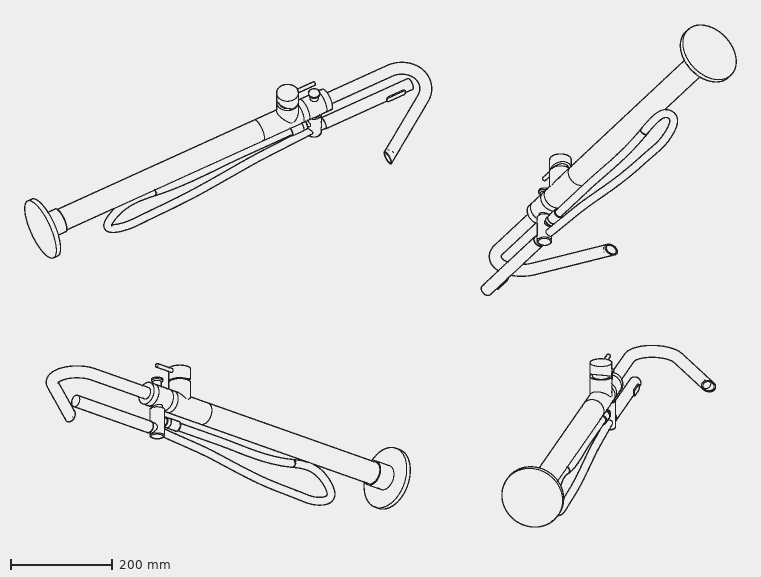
import cadquery as cq
import math


PLATE_D = 124.0
PLATE_THICKNESS = 10.0
SOCKET_D = 50.0
SOCKET_END = 46.0
COLUMN_D = 45.0
COLUMN_END = 500.0
MIXER_END = 591.0
COLLAR_LENGTH = 13.0
DIVERTER_LENGTH = 39.0
SPACER_END = MIXER_END + COLLAR_LENGTH
DIVERTER_END = SPACER_END + DIVERTER_LENGTH
SPOUT_COLLAR_END = DIVERTER_END + COLLAR_LENGTH

VALVE_D = 43.5
VALVE_Y = 566.0
VALVE_BODY_TOP = 47.5
CAP_BOTTOM = 49.5
CAP_TOP = 76.4
CAP_RELIEF_HEIGHT = 9.0
CAP_CORE_D = 34.0
LEVER_D = 8.0
LEVER_Z = 67.4
LEVER_END = 628.0

BRANCH_Y = 627.0
KNOB_D = 22.5
KNOB_STEM_D = 17.0
KNOB_TOP = 38.0
KNOB_RIM = 3.5
KNOB_TAPER = 2.5

NECK_D = 22.0
HOLDER_D = 29.0
HOLDER_TOP = -26.8
HOLDER_BOTTOM = -84.5
HOLDER_CHAMFER = 2.0

HANDLE_D = 24.0
HANDLE_Z = -70.0
HANDLE_START = 648.0
HANDLE_END = 847.5
HANDLE_STEM_D = 22.0
SPRAY_PAD_LENGTH = 44.0
SPRAY_PAD_WIDTH = 12.0
SPRAY_PAD_HEIGHT = 1.5
SPRAY_PAD_TIP_GAP = 18.0

HOSE_D = 16.0
HOSE_Z = -47.5
HOSE_STRAIGHT_END = 464.5
NUT_D = 20.5
NUT_START = 607.0
NUT_END = 572.5
NUT_COLLAR_D = 19.5
NUT_COLLAR_LENGTH = 9.0
NUT_STEM_D = 15.0
HOSE_TAIL_OFFSET = 6.0

SPOUT_D = 24.0
SPOUT_TOP = 858.7
SPOUT_REACH = 204.38
FIRST_BEND_R = 46.0
SECOND_BEND_R = 58.0
OUTLET_ANGLE = 35.0
OUTLET_OVERRUN = 40.0
OUTLET_BORE_D = 19.0
OUTLET_BORE_DEPTH = 12.0


def rod_y(diameter, start, end, z=0.0):
    """Round rod along Y between two Y stations, in the X = 0 plane at height z."""
    plane = cq.Plane(origin=(0, start, z), xDir=(1, 0, 0), normal=(0, 1, 0))
    return cq.Workplane(plane).circle(diameter / 2).extrude(end - start)


def post_z(diameter, y, bottom, top):
    """Round post along Z standing at station y."""
    return cq.Workplane("XY", origin=(0, y, bottom)).circle(diameter / 2).extrude(top - bottom)


def make_pedestal():
    plate = rod_y(PLATE_D, 0, PLATE_THICKNESS)
    socket = rod_y(SOCKET_D, PLATE_THICKNESS, SOCKET_END)
    column = rod_y(COLUMN_D, SOCKET_END, COLUMN_END)
    return plate.union(socket).union(column)


def make_valve_cap():
    """Cap on a thinner core, its underside sloping up toward -Y to let the lever tilt."""
    cap = post_z(VALVE_D, VALVE_Y, CAP_BOTTOM, CAP_TOP)
    edge_y = VALVE_Y - VALVE_D / 2
    relief = (
        cq.Workplane("YZ")
        .polyline([
            (VALVE_Y, CAP_BOTTOM),
            (edge_y, CAP_BOTTOM),
            (edge_y, CAP_BOTTOM + CAP_RELIEF_HEIGHT),
        ])
        .close()
        .extrude(VALVE_D / 2, both=True)
    )
    core = post_z(CAP_CORE_D, VALVE_Y, VALVE_BODY_TOP, CAP_TOP)
    return cap.cut(relief).union(core)


def make_mixer():
    body = rod_y(COLUMN_D, COLUMN_END, MIXER_END)
    valve = post_z(VALVE_D, VALVE_Y, 0, VALVE_BODY_TOP)
    lever = rod_y(LEVER_D, VALVE_Y, LEVER_END, LEVER_Z)
    return body.union(valve).union(make_valve_cap()).union(lever)


def make_spacer():
    return rod_y(COLUMN_D, MIXER_END, SPACER_END)


def make_knob():
    stem_r = KNOB_STEM_D / 2
    rim_r = KNOB_D / 2
    rim_bottom = KNOB_TOP - KNOB_RIM
    return (
        cq.Workplane("XZ", origin=(0, BRANCH_Y, 0))
        .polyline([
            (0, 0),
            (stem_r, 0),
            (stem_r, rim_bottom - KNOB_TAPER),
            (rim_r, rim_bottom),
            (rim_r, KNOB_TOP),
            (0, KNOB_TOP),
        ])
        .close()
        .revolve(360, (0, 0, 0), (0, 1, 0))
    )


def make_holder():
    neck = post_z(NECK_D, BRANCH_Y, HOLDER_TOP, 0)
    holder = post_z(HOLDER_D, BRANCH_Y, HOLDER_BOTTOM, HOLDER_TOP)
    return holder.faces("<Z").chamfer(HOLDER_CHAMFER).union(neck)


def make_hand_shower():
    stem = rod_y(HANDLE_STEM_D, BRANCH_Y, HANDLE_START, HANDLE_Z)
    handle = rod_y(HANDLE_D, HANDLE_START, HANDLE_END, HANDLE_Z)
    pad_y = HANDLE_END - SPRAY_PAD_TIP_GAP - SPRAY_PAD_LENGTH / 2
    spray_pad = (
        cq.Workplane("YZ", origin=(0, pad_y, HANDLE_Z))
        .slot2D(SPRAY_PAD_LENGTH, SPRAY_PAD_WIDTH)
        .extrude(HANDLE_D / 2 + SPRAY_PAD_HEIGHT)
    )
    return handle.union(stem).union(spray_pad)


def make_hose():
    """Hose from the union nut, down round a loop near the floor plate and back to the holder."""
    nut_stem = rod_y(NUT_STEM_D, NUT_START, BRANCH_Y, HOSE_Z)
    nut_body_end = NUT_START - NUT_COLLAR_LENGTH
    nut = rod_y(NUT_D, NUT_END, nut_body_end, HOSE_Z)
    nut_collar = rod_y(NUT_COLLAR_D, nut_body_end, NUT_START, HOSE_Z)
    straight_start = cq.Vector(0, NUT_END, HOSE_Z)
    straight_end = cq.Vector(0, HOSE_STRAIGHT_END, HOSE_Z)
    loop_points = [
        straight_end,
        cq.Vector(2, 357, -48.2),
        cq.Vector(4.5, 268, -39.3),
        cq.Vector(5.5, 215, -31.2),
        cq.Vector(6.5, 171.5, -43.5),
        cq.Vector(8, 149.5, -74.5),
        cq.Vector(9, 189, -97.3),
        cq.Vector(8.5, 228, -99.1),
        cq.Vector(7, 330, -96.4),
        cq.Vector(4.5, 477, -79.6),
        cq.Vector(3, BRANCH_Y - HOSE_TAIL_OFFSET, -69),
    ]
    straight_direction = cq.Vector(0, -1, 0)
    tail_direction = loop_points[-1] - loop_points[-2]
    straight = cq.Edge.makeLine(straight_start, straight_end)
    loop = cq.Edge.makeSpline(loop_points, tangents=[straight_direction, tail_direction.normalized()])
    path = cq.Wire.assembleEdges([straight, loop])
    profile_plane = cq.Plane(
        origin=straight_start.toTuple(), xDir=(1, 0, 0), normal=straight_direction.toTuple()
    )
    hose = cq.Workplane(profile_plane).circle(HOSE_D / 2).sweep(path)
    return hose.union(nut).union(nut_collar).union(nut_stem)


def make_diverter():
    body = rod_y(COLUMN_D, SPACER_END, DIVERTER_END)
    diverter = body.union(make_knob()).union(make_holder())
    return diverter.union(make_hand_shower()).union(make_hose())


def make_spout():
    """Tube bent through two tangent arcs, with its outlet cut square to the column axis."""
    tilt = math.radians(OUTLET_ANGLE)
    turn = math.pi / 2 - tilt
    tube_r = SPOUT_D / 2
    crest_y = SPOUT_TOP - tube_r
    bend_start_y = crest_y - FIRST_BEND_R
    second_centre_y = crest_y - SECOND_BEND_R

    def on_first_bend(angle):
        return (
            FIRST_BEND_R * (1 - math.cos(angle)),
            bend_start_y + FIRST_BEND_R * math.sin(angle),
        )

    def on_second_bend(angle):
        return (
            FIRST_BEND_R + SECOND_BEND_R * math.sin(angle),
            second_centre_y + SECOND_BEND_R * math.cos(angle),
        )

    bend_end = on_second_bend(turn)
    outlet_x = SPOUT_REACH - tube_r / math.cos(tilt)
    outlet_y = bend_end[1] - (outlet_x - bend_end[0]) / math.tan(tilt)
    axis = cq.Vector(math.sin(tilt), -math.cos(tilt), 0)
    outlet = cq.Vector(outlet_x, outlet_y, 0)
    tube_end = outlet + axis * OUTLET_OVERRUN

    path = (
        cq.Workplane("XY")
        .moveTo(0, DIVERTER_END)
        .lineTo(0, bend_start_y)
        .threePointArc(on_first_bend(math.pi / 4), on_first_bend(math.pi / 2))
        .threePointArc(on_second_bend(turn / 2), bend_end)
        .lineTo(tube_end.x, tube_end.y)
    )
    profile_plane = cq.Plane(origin=(0, DIVERTER_END, 0), xDir=(1, 0, 0), normal=(0, 1, 0))
    tube = cq.Workplane(profile_plane).circle(tube_r).sweep(path)

    waste_size = 2 * (tube_end - outlet).Length
    waste = cq.Workplane("XY").box(waste_size, waste_size, waste_size)
    waste = waste.translate((outlet_x, outlet_y - waste_size / 2, 0))

    bore_floor = outlet - axis * OUTLET_BORE_DEPTH
    bore_plane = cq.Plane(origin=bore_floor.toTuple(), xDir=(0, 0, 1), normal=axis.toTuple())
    bore = cq.Workplane(bore_plane).circle(OUTLET_BORE_D / 2).extrude(OUTLET_BORE_DEPTH + OUTLET_OVERRUN)

    collar = rod_y(COLUMN_D, DIVERTER_END, SPOUT_COLLAR_END)
    return tube.cut(waste).cut(bore).union(collar)


pedestal = make_pedestal()
mixer = make_mixer()
spacer = make_spacer()
diverter = make_diverter()
spout = make_spout()

result = cq.Compound.makeCompound(
    [pedestal.val(), mixer.val(), spacer.val(), diverter.val(), spout.val()]
)